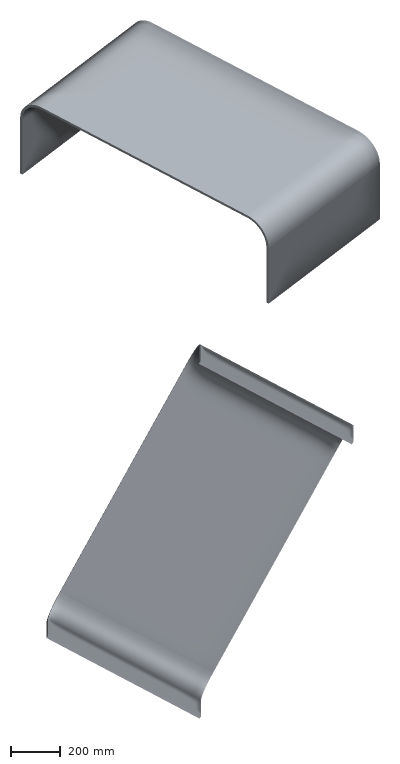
import cadquery as cq

length = 1300.0
depth = 700.0
height = 400.0

thickness = 12.0
outer_bend_radius = 112.0


def arch_block(block_length, block_height, bend_radius):
    """Solid block standing on Z = 0 with its two upper long edges rounded."""
    block = cq.Workplane("XY").box(block_length, depth, block_height, centered=(True, True, False))
    return block.edges("|Y and >Z").fillet(bend_radius)


outer_block = arch_block(length, height, outer_bend_radius)
inner_space = arch_block(
    length - 2 * thickness,
    height - thickness,
    outer_bend_radius - thickness,
)

result = outer_block.cut(inner_space)